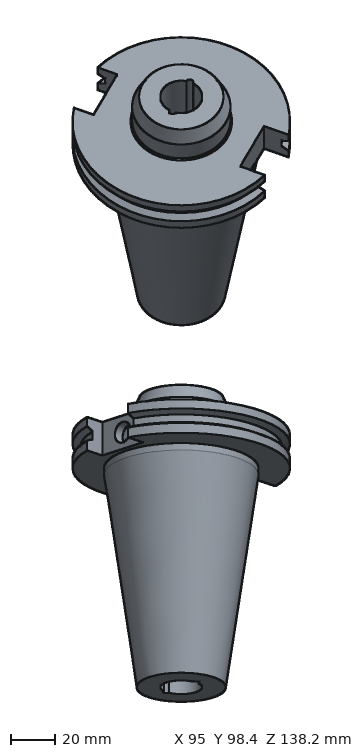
import cadquery as cq

total_height = 138.2
taper_height = 101.4
flange_bottom = 104.7
flange_top = 120.8
nose_chamfer_height = 6.9

small_end_radius = 20.2
collar_radius = 35.0
flange_radius = 49.2
nose_radius = 22.2
nose_tip_radius = 19.0
nose_foot_size = 0.7

groove_floor_radius = 45.7
groove_floor_width = 3.6
groove_mouth_width = 6.9
groove_center = 112.9

slot_width = 25.8
dimple_slot_floor = 37.7
plain_slot_floor = 35.2
dimple_diameter = 9.8
dimple_depth = 5.0

bore_diameter = 18.9
flute_diameter = 3.3
flute_center_distance = 9.3


def turned_body():
    """Taper, collar, flange and chamfered nose as one revolved profile."""
    profile = [
        (0, 0),
        (small_end_radius, 0),
        (collar_radius, taper_height),
        (collar_radius, flange_bottom),
        (flange_radius, flange_bottom),
        (flange_radius, groove_center - groove_mouth_width / 2),
        (groove_floor_radius, groove_center - groove_floor_width / 2),
        (groove_floor_radius, groove_center + groove_floor_width / 2),
        (flange_radius, groove_center + groove_mouth_width / 2),
        (flange_radius, flange_top),
        (nose_radius + nose_foot_size, flange_top),
        (nose_radius, flange_top + nose_foot_size),
        (nose_radius, total_height - nose_chamfer_height),
        (nose_tip_radius, total_height),
        (0, total_height),
    ]
    return cq.Workplane("XZ").polyline(profile).close().revolve(360, (0, 0), (0, 1))


def drive_slot(side, floor_distance):
    """Rectangular slot through the flange rim; side is -1 for -X and +1 for +X."""
    slot_depth = flange_radius - floor_distance
    slot_center = side * (floor_distance + slot_depth / 2)
    return (
        cq.Workplane("XY", origin=(slot_center, 0, flange_bottom))
        .rect(slot_depth, slot_width)
        .extrude(flange_top - flange_bottom)
    )


def slot_dimple():
    """Blind round hole in the floor of the -X drive slot."""
    return (
        cq.Workplane("YZ", origin=(-dimple_slot_floor, 0, (flange_bottom + flange_top) / 2))
        .circle(dimple_diameter / 2)
        .extrude(dimple_depth)
    )


def fluted_bore():
    """Through bore with a round flute on the +Y and -Y sides."""
    bore = cq.Workplane("XY").circle(bore_diameter / 2).extrude(total_height)
    flutes = (
        cq.Workplane("XY")
        .pushPoints([(0, -flute_center_distance), (0, flute_center_distance)])
        .circle(flute_diameter / 2)
        .extrude(total_height)
    )
    return bore.union(flutes)


result = (
    turned_body()
    .cut(drive_slot(-1, dimple_slot_floor))
    .cut(drive_slot(1, plain_slot_floor))
    .cut(slot_dimple())
    .cut(fluted_bore())
)